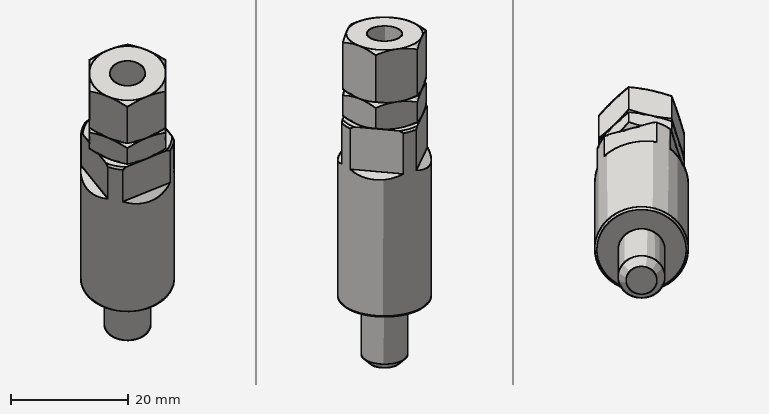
import cadquery as cq
import math

total_height = 62.0
pin_length = 12.0
lock_nut_height = 5.0
cap_height = 10.0
cap_base = total_height - cap_height
lock_nut_base = cap_base - lock_nut_height
housing_height = lock_nut_base - pin_length

housing_diameter = 16.0
housing_radius = housing_diameter / 2
housing_chamfer = 0.4
pin_diameter = 8.0
pin_chamfer_height = 1.35
pin_chamfer_width = 1.35

across_flats = 13.0
half_flats = across_flats / 2
flat_height = 8.05
shoulder_angle = math.radians(30)

hexagon_corner_diameter = across_flats / math.cos(math.pi / 6)
hexagon_chamfer_angle = math.radians(30)
hexagon_turn = 90
cap_bore_diameter = 6.0


def make_flat_cutter():
    """Prism that cuts the +X flat, ending below in a sloping shoulder."""
    outer_x = housing_diameter
    flat_bottom = lock_nut_base - flat_height
    outer_bottom = flat_bottom - (outer_x - half_flats) * math.tan(shoulder_angle)
    return (
        cq.Workplane("XZ")
        .polyline([
            (half_flats, flat_bottom),
            (outer_x, outer_bottom),
            (outer_x, lock_nut_base),
            (half_flats, lock_nut_base),
        ])
        .close()
        .extrude(housing_radius, both=True)
    )


def make_housing():
    """Round housing with an end pin and four wrench flats at the top."""
    barrel = (
        cq.Workplane("XY")
        .workplane(offset=pin_length)
        .circle(housing_radius)
        .extrude(housing_height)
        .faces("<Z or >Z")
        .chamfer(housing_chamfer)
    )
    pin = (
        cq.Workplane("XY")
        .circle(pin_diameter / 2)
        .extrude(pin_length)
        .faces("<Z")
        .chamfer(pin_chamfer_height, pin_chamfer_width)
    )
    flat_cutter = make_flat_cutter()
    for angle in (0, 90, 180, 270):
        barrel = barrel.cut(flat_cutter.rotate((0, 0, 0), (0, 0, 1), angle))
    return barrel.union(pin)


def make_hexagon(base, height):
    """Hexagonal prism with flats on +X and -X and both ends turned to a cone."""
    prism = (
        cq.Workplane("XY")
        .workplane(offset=base)
        .polygon(6, hexagon_corner_diameter)
        .extrude(height)
        .rotate((0, 0, 0), (0, 0, 1), hexagon_turn)
    )
    top = base + height
    middle = base + height / 2
    cone_reach = height / 2 / math.tan(hexagon_chamfer_angle)
    turned = (
        cq.Workplane("XZ")
        .polyline([
            (0, base),
            (half_flats, base),
            (half_flats + cone_reach, middle),
            (half_flats, top),
            (0, top),
        ])
        .close()
        .revolve(360, (0, 0), (0, 1))
    )
    return prism.intersect(turned)


def make_lock_nut():
    """Thin hexagon between the housing and the cap."""
    return make_hexagon(lock_nut_base, lock_nut_height)


def make_cap():
    """Tall hexagon with a bore through it, closed below by the lock nut."""
    bore = (
        cq.Workplane("XY")
        .workplane(offset=cap_base)
        .circle(cap_bore_diameter / 2)
        .extrude(cap_height)
    )
    return make_hexagon(cap_base, cap_height).cut(bore)


housing = make_housing()
lock_nut = make_lock_nut()
cap = make_cap()

result = cq.Compound.makeCompound([housing.val(), lock_nut.val(), cap.val()])